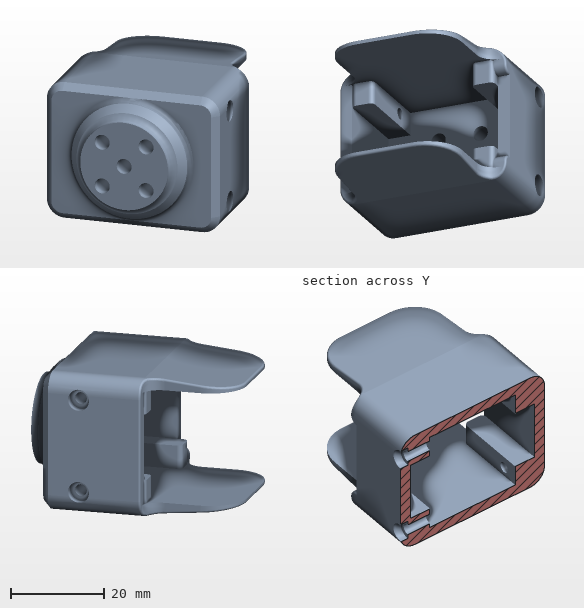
import cadquery as cq
import math

width = 39.0
height = 30.7
total_length = 47.0
body_length = 22.05
corner_radius = 4.0
front_chamfer = 1.5
wall = 2.8
edge_round = 0.45

boss_length = 5.0
boss_radius = 13.02
boss_rim_radius = 11.4
boss_tip_radius = 9.87
boss_foot_fillet = 1.0
boss_straight_end = 1.35
boss_neck_radius = 1.97
hole_diameter = 3.4
hole_spacing = 9.87

flap_width = 29.0
flap_corner_radius = 8.0
flap_flare_radius = 4.0
flap_tip_thickness = 0.9

screw_offset = 10.25
screw_diameter = 2.6
counterbore_diameter = 4.65
counterbore_depth = 1.97
left_screw_y = 4.55
right_screw_y = 8.3

post_size = 5.15
post_overhang = 0.38
post_round = 1.15

notch_depth = 2.1
notch_corner_radius = 1.9

half_width = width / 2
half_height = height / 2
inner_half_width = half_width - wall
inner_half_height = half_height - wall
flap_end = total_length - boss_length


def make_plan():
    """Plan outline of body and flaps, extruded through the full height."""
    half_flap = flap_width / 2
    flare_end = half_flap + flap_flare_radius
    half_tip = half_flap - flap_corner_radius
    flare_top = body_length + flap_flare_radius
    corner_start = flap_end - flap_corner_radius
    flare_inset = flap_flare_radius * (1 - math.sqrt(0.5))
    corner_inset = flap_corner_radius * (1 - math.sqrt(0.5))
    outline = (
        cq.Workplane("XY", origin=(0, 0, -half_height))
        .moveTo(-half_width, 0)
        .lineTo(half_width, 0)
        .lineTo(half_width, body_length)
        .lineTo(flare_end, body_length)
        .threePointArc((half_flap + flare_inset, body_length + flare_inset), (half_flap, flare_top))
        .lineTo(half_flap, corner_start)
        .threePointArc((half_flap - corner_inset, flap_end - corner_inset), (half_tip, flap_end))
        .lineTo(-half_tip, flap_end)
        .threePointArc((corner_inset - half_flap, flap_end - corner_inset), (-half_flap, corner_start))
        .lineTo(-half_flap, flare_top)
        .threePointArc((-half_flap - flare_inset, body_length + flare_inset), (-flare_end, body_length))
        .lineTo(-half_width, body_length)
        .close()
    )
    return outline.extrude(height)


def make_rounded_body(plan):
    """Untapered housing with rounded corners, a left notch and a rounded rear rim."""
    block = (
        cq.Workplane("XZ")
        .rect(width, height)
        .extrude(-flap_end)
        .edges("|Y")
        .fillet(corner_radius)
        .faces("<Y")
        .chamfer(front_chamfer)
    )
    return plan.intersect(block).edges(rear_rim()).fillet(edge_round).cut(make_notch())


def make_tapered_flaps(plan):
    """Plan outline between two planes closing towards the flap tips, with a rounded rim."""
    tip_half_height = inner_half_height + flap_tip_thickness
    taper_slope = (half_height - tip_half_height) / (flap_end - body_length)
    front_half_height = tip_half_height + taper_slope * flap_end
    wedge = (
        cq.Workplane("YZ", origin=(-half_width, 0, 0))
        .polyline([
            (0, -front_half_height),
            (flap_end, -tip_half_height),
            (flap_end, tip_half_height),
            (0, front_half_height),
        ])
        .close()
        .extrude(width)
    )
    return plan.intersect(wedge).edges(rear_rim()).fillet(edge_round)


def rear_rim():
    """Selector for the curved edges of the rear outline; a fillet spreads along the whole rim."""
    margin = 0.05
    corner_low = (-width, body_length - margin, -height)
    corner_high = (width, total_length, height)
    behind_body = cq.selectors.BoxSelector(corner_low, corner_high)
    crosswise = cq.selectors.ParallelDirSelector(cq.Vector(1, 0, 0))
    upright = cq.selectors.ParallelDirSelector(cq.Vector(0, 0, 1))
    return behind_body - crosswise - upright


def make_notch():
    """Cutter for the left wall, leaving a tongue with a rounded corner above and below it."""
    half_mouth = half_height - corner_radius
    floor = body_length - notch_depth
    opening = (
        cq.Workplane("XY", origin=(-half_width, floor, 0))
        .box(wall, notch_depth, 2 * half_mouth, centered=(False, False, True))
    )
    tongue = (
        cq.Workplane("XY", origin=(-half_width, 0, half_mouth - notch_corner_radius))
        .box(wall, body_length, 2 * notch_corner_radius, centered=False)
        .edges(">Y and <Z")
        .fillet(notch_corner_radius)
        .faces("<X")
        .edges(">Y")
        .fillet(edge_round)
    )
    return opening.cut(tongue).cut(tongue.mirror("XY"))


def make_shell():
    """Housing with flaps, opened to the rear."""
    plan = make_plan()
    solid = make_rounded_body(plan).intersect(make_tapered_flaps(plan))
    cavity = (
        cq.Workplane("XY", origin=(0, wall, 0))
        .box(2 * inner_half_width, flap_end, 2 * inner_half_height, centered=(True, False, True))
    )
    flap_gap = (
        cq.Workplane("XY", origin=(0, body_length, 0))
        .box(width, flap_end, 2 * inner_half_height, centered=(True, False, True))
    )
    return solid.cut(cavity).cut(flap_gap)


def make_posts():
    """Posts along the cavity corners, with rounded upright edges at their rear ends."""
    post_length = body_length + post_overhang - wall
    post = (
        cq.Workplane("XY")
        .box(post_size, post_length, post_size, centered=(True, False, True))
        .edges(">Y and |Z")
        .fillet(post_round)
    )
    center_x = inner_half_width - post_size / 2
    center_z = inner_half_height - post_size / 2
    posts = cq.Workplane("XY")
    for x in (-center_x, center_x):
        for z in (-center_z, center_z):
            posts = posts.add(post.translate((x, wall, z)))
    return posts.combine()


def make_boss():
    """Turned boss on the Y axis, trimmed to the flat part of the front face."""
    foot_radius = boss_radius + boss_foot_fillet
    chamfer_end = boss_straight_end + boss_radius - boss_rim_radius
    diagonal = math.sqrt(0.5)
    neck_center = boss_tip_radius + boss_neck_radius
    neck_drop = 0.5 * math.acos((neck_center - boss_rim_radius) / boss_neck_radius)
    neck_mid = (
        neck_center - boss_neck_radius * math.cos(neck_drop),
        boss_neck_radius * math.sin(neck_drop) - boss_length,
    )
    profile = (
        cq.Workplane("XY")
        .moveTo(0, wall)
        .lineTo(foot_radius, wall)
        .lineTo(foot_radius, 0)
        .threePointArc(
            (foot_radius - boss_foot_fillet * diagonal, boss_foot_fillet * (diagonal - 1)),
            (boss_radius, -boss_foot_fillet),
        )
        .lineTo(boss_radius, -boss_straight_end)
        .lineTo(boss_rim_radius, -chamfer_end)
        .threePointArc(neck_mid, (boss_tip_radius, -boss_length))
        .lineTo(0, -boss_length)
        .close()
    )
    boss = profile.revolve(360, (0, 0, 0), (0, 1, 0))
    face_height = height - 2 * front_chamfer
    return boss.intersect(cq.Workplane("XY").box(width, total_length, face_height))


def make_front_holes():
    """Through holes in the boss: one at the center and four around it."""
    offset = hole_spacing / 2
    centers = [(0, 0)] + [(x, z) for x in (-offset, offset) for z in (-offset, offset)]
    return (
        cq.Workplane("XZ", origin=(0, -boss_length, 0))
        .pushPoints(centers)
        .circle(hole_diameter / 2)
        .extrude(-boss_length - wall)
    )


def make_screw_holes(side, y):
    """Upper and lower counterbored holes in one side wall (side is -1 for left, 1 for right)."""
    centers = [(y, -screw_offset), (y, screw_offset)]
    outer_face = cq.Workplane("YZ", origin=(side * half_width, 0, 0)).pushPoints(centers)
    hole = outer_face.circle(screw_diameter / 2).extrude(-side * (wall + post_size))
    counterbore = outer_face.circle(counterbore_diameter / 2).extrude(-side * counterbore_depth)
    return hole.union(counterbore)


result = (
    make_shell()
    .union(make_posts())
    .union(make_boss())
    .cut(make_front_holes())
    .cut(make_screw_holes(-1, left_screw_y))
    .cut(make_screw_holes(1, right_screw_y))
)